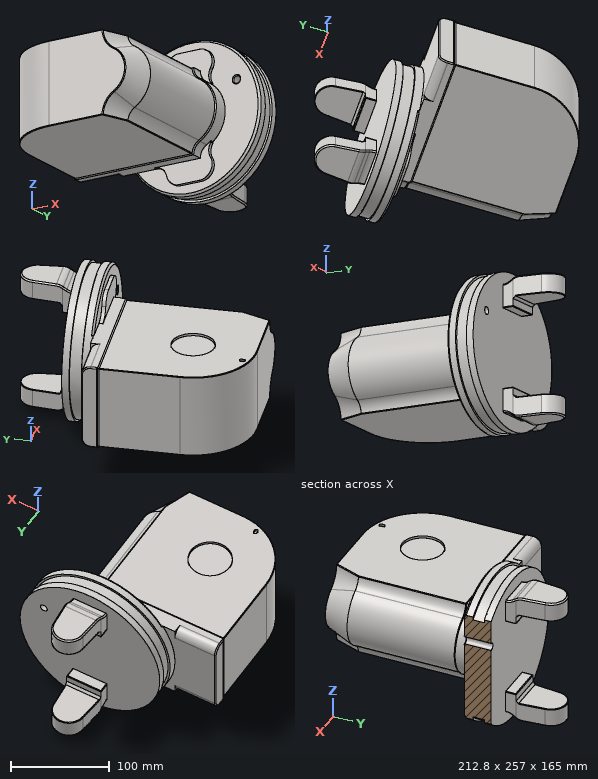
import cadquery as cq
import math


disc_diameter = 165.0
disc_radius = disc_diameter / 2
groove_diameter = 160.0
disc_thickness = 30.3
groove_front = 10.0
groove_rear = 22.5
disc_chamfer = 2.3

hole_x = 54.2
hole_z = 31.4
hole_diameter = 8.0
hole_mouth_diameter = 10.0

overall_width = 212.8
overall_length = 257.0
overall_front = -167.8
flange_left = disc_radius - overall_width
flange_step = 1.0
flange_half_height = 46.8
flange_front = -16.5
flange_seam = 1.5
flange_rear = 0.5
flange_edge_radius = 9.8
flange_end_chamfer = 1.3
housing_left = flange_left + flange_step
housing_half_height = flange_half_height - flange_step
corner_radius = 66.3
housing_chamfer = 0.8
nose_bevel_start = -137.8
nose_bevel_inset = 11.0

bulge_x = 1.8
bulge_radius = 37.8
valley_radius = 16.0
valley_z = flange_half_height
bulge_angle = math.asin(valley_z / (bulge_radius + valley_radius))
valley_x = bulge_x + (bulge_radius + valley_radius) * math.cos(bulge_angle)

recess_diameter = 45.0
recess_depth = 2.5
recess_x = housing_left + corner_radius
recess_y = overall_front + corner_radius
slot_x = -83.8
slot_y = -156.5
slot_length = 6.2
slot_width = 3.9
slot_depth = 2.5

pad_thickness = 4.0
pad_half_height = 70.2
pad_arc_radius = 15.0
pad_corner_x = 12.5
pad_foot_z = 47.0
pad_neck_x = 38.3
pad_neck_end_z = 31.9

finger_end = overall_length + overall_front
finger_tip_radius = 17.5
finger_root_half_width = 20.3
finger_shoulder = 42.1
finger_outer_z = 74.0
finger_inner_z = 53.0
finger_root_inner_z = 42.1
finger_bend_start = 48.5
finger_bend_radius = 13.0
finger_bend_angle = math.radians(33)
finger_bend_run = 3.9
finger_step_chamfer = 2.5
finger_outer_chamfer = 1.5
finger_inner_edge_chamfer = 0.8


def make_disc():
    disc = cq.Workplane("XZ").circle(disc_radius).extrude(-disc_thickness)
    disc = disc.faces("<Y").chamfer(disc_chamfer)
    groove = (
        cq.Workplane("XZ", origin=(0, groove_front, 0))
        .circle(disc_radius + 2.5)
        .circle(groove_diameter / 2)
        .extrude(groove_front - groove_rear)
    )
    return disc.cut(groove)


def wave_outline(y, left, half_height, growth):
    """Housing cross-section at the given Y, with the wavy side moved outward by growth."""
    bulge = bulge_radius + growth
    valley = valley_radius - growth

    def bulge_point(angle):
        return bulge_x + bulge * math.cos(angle), bulge * math.sin(angle)

    def valley_point(angle):
        return valley_x - valley * math.cos(angle), valley_z - valley * math.sin(angle)

    start_angle = math.asin((valley_z - half_height) / valley)
    middle_angle = (start_angle + bulge_angle) / 2
    end_x, end_z = valley_point(start_angle)
    mid_x, mid_z = valley_point(middle_angle)
    join_x, join_z = bulge_point(bulge_angle)
    return (
        cq.Workplane("XZ", origin=(0, y, 0))
        .moveTo(left, -half_height)
        .lineTo(end_x, -end_z)
        .threePointArc((mid_x, -mid_z), (join_x, -join_z))
        .threePointArc(bulge_point(0), (join_x, join_z))
        .threePointArc((mid_x, mid_z), (end_x, end_z))
        .lineTo(left, half_height)
        .close()
    )


def loft_outlines(rear, front):
    return cq.Workplane(cq.Solid.makeLoft([rear.val(), front.val()], True))


def make_housing():
    rear = flange_front / 2
    section = (housing_left, housing_half_height)
    housing = wave_outline(rear, *section, 0).extrude(rear - nose_bevel_start)
    nose = loft_outlines(
        wave_outline(nose_bevel_start, *section, 0),
        wave_outline(overall_front, *section, -nose_bevel_inset),
    )
    housing = housing.union(nose).clean()
    housing = housing.faces("<Y").edges("%CIRCLE").chamfer(housing_chamfer)
    housing = housing.edges("|Z").edges("<X").edges("<Y").fillet(corner_radius)
    return housing.faces(">Z or <Z").chamfer(housing_chamfer)


def make_flange():
    """Slightly larger collar between housing and disc, rounded where it overhangs the disc."""
    section = (flange_left, flange_half_height)
    collar = wave_outline(flange_rear, *section, flange_step).extrude(flange_rear - flange_front)
    collar = collar.faces(">Y").edges("|X").fillet(flange_edge_radius)
    collar = collar.faces("<X").chamfer(flange_end_chamfer)
    seam = loft_outlines(
        wave_outline(flange_front, *section, flange_step),
        wave_outline(flange_front - flange_seam, housing_left, housing_half_height, 0),
    )
    square_section = (-disc_radius, flange_half_height, flange_step)
    square = wave_outline(flange_rear, *square_section).extrude(flange_rear - flange_front)
    chamfer_fill = wave_outline(disc_chamfer, *square_section).extrude(disc_chamfer)
    chamfer_fill = chamfer_fill.intersect(cq.Workplane("XZ").circle(disc_radius).extrude(-disc_chamfer))
    return collar.union(square).union(chamfer_fill).union(seam)


def cut_top_features(part):
    top = cq.Workplane("XY", origin=(0, 0, housing_half_height))
    recess = top.center(recess_x, recess_y).circle(recess_diameter / 2).extrude(-recess_depth)
    slot = top.center(slot_x, slot_y).slot2D(slot_length, slot_width, 90).extrude(-slot_depth)
    return part.cut(recess).cut(slot)


def make_pad():
    radius = pad_arc_radius
    corner_z = pad_half_height - radius
    foot_z = pad_foot_z + radius
    foot_x = -pad_corner_x - math.sqrt((2 * radius) ** 2 - (foot_z - corner_z) ** 2)
    neck_z = corner_z - math.sqrt((2 * radius) ** 2 - (pad_neck_x - pad_corner_x) ** 2)
    foot_join = ((foot_x - pad_corner_x) / 2, (foot_z + corner_z) / 2)
    neck_join = ((pad_neck_x + pad_corner_x) / 2, (neck_z + corner_z) / 2)
    neck_end_x = pad_neck_x - math.sqrt(radius**2 - (neck_z - pad_neck_end_z) ** 2)
    diagonal = radius * math.sqrt(0.5)
    upper_half = (
        cq.Workplane("XZ")
        .moveTo(foot_x, 0)
        .lineTo(foot_x, pad_foot_z)
        .threePointArc((foot_x + diagonal, foot_z - diagonal), foot_join)
        .threePointArc((-pad_corner_x - diagonal, corner_z + diagonal), (-pad_corner_x, pad_half_height))
        .lineTo(pad_corner_x, pad_half_height)
        .threePointArc((pad_corner_x + diagonal, corner_z + diagonal), neck_join)
        .threePointArc((pad_neck_x - radius, neck_z), (neck_end_x, pad_neck_end_z))
        .lineTo(neck_end_x, 0)
        .close()
        .extrude(pad_thickness)
    )
    return upper_half.union(upper_half.mirror("XY"))


def make_finger():
    """Upper finger: its plan outline intersected with its cranked side profile."""
    tip_y = finger_end - finger_tip_radius
    taper_length = tip_y - finger_shoulder
    side_reach = math.hypot(finger_root_half_width, taper_length)
    tangent_angle = math.acos(finger_tip_radius / side_reach) - math.atan2(taper_length, finger_root_half_width)
    tangent_x = finger_tip_radius * math.cos(tangent_angle)
    tangent_y = tip_y + finger_tip_radius * math.sin(tangent_angle)
    plan = (
        cq.Workplane("XY")
        .moveTo(-finger_root_half_width, disc_thickness)
        .lineTo(-finger_root_half_width, finger_shoulder)
        .lineTo(-tangent_x, tangent_y)
        .threePointArc((0, finger_end), (tangent_x, tangent_y))
        .lineTo(finger_root_half_width, finger_shoulder)
        .lineTo(finger_root_half_width, disc_thickness)
        .close()
        .extrude(finger_outer_z)
    )

    def bend(angle):
        radius = finger_bend_radius
        return radius * math.sin(angle), radius * (1 - math.cos(angle))

    bend_run, bend_drop = bend(finger_bend_angle)
    half_run, half_drop = bend(finger_bend_angle / 2)
    slope_y = finger_bend_start - bend_run
    slope_z = finger_outer_z - bend_drop
    slope_end_y = slope_y - finger_bend_run
    slope_end_z = slope_z - finger_bend_run * math.tan(finger_bend_angle)
    root_y = slope_end_y - bend_run
    root_z = slope_end_z - bend_drop
    side = (
        cq.Workplane("YZ", origin=(-finger_root_half_width, 0, 0))
        .moveTo(finger_end, finger_outer_z)
        .lineTo(finger_bend_start, finger_outer_z)
        .threePointArc((finger_bend_start - half_run, finger_outer_z - half_drop), (slope_y, slope_z))
        .lineTo(slope_end_y, slope_end_z)
        .threePointArc((root_y + half_run, root_z + half_drop), (root_y, root_z))
        .lineTo(disc_thickness, root_z)
        .lineTo(disc_thickness, finger_root_inner_z)
        .lineTo(finger_shoulder, finger_root_inner_z)
        .lineTo(finger_shoulder, finger_inner_z - finger_step_chamfer)
        .lineTo(finger_shoulder + finger_step_chamfer, finger_inner_z)
        .lineTo(finger_end, finger_inner_z)
        .close()
        .extrude(2 * finger_root_half_width)
    )
    finger = plan.intersect(side)
    finger = finger.faces(">Z").chamfer(finger_outer_chamfer)
    finger = finger.faces("<Z").edges("not <Y").chamfer(finger_inner_edge_chamfer)
    inner_face = cq.selectors.NearestToPointSelector((0, tip_y, finger_inner_z))
    return finger.faces(inner_face).edges("not |X").chamfer(finger_inner_edge_chamfer)


def make_hole():
    mouth_depth = (hole_mouth_diameter - hole_diameter) / 2
    hole = (
        cq.Workplane("XZ", origin=(hole_x, 0, hole_z))
        .circle(hole_diameter / 2)
        .extrude(-disc_thickness)
    )
    mouth = cq.Solid.makeCone(
        hole_mouth_diameter / 2,
        hole_diameter / 2,
        mouth_depth,
        cq.Vector(hole_x, 0, hole_z),
        cq.Vector(0, 1, 0),
    )
    return hole.union(cq.Workplane(mouth))


finger = make_finger()
result = make_disc().cut(make_hole()).union(make_pad())
result = result.union(finger).union(finger.mirror("XY"))
result = result.union(make_flange()).union(make_housing())
result = cut_top_features(result)